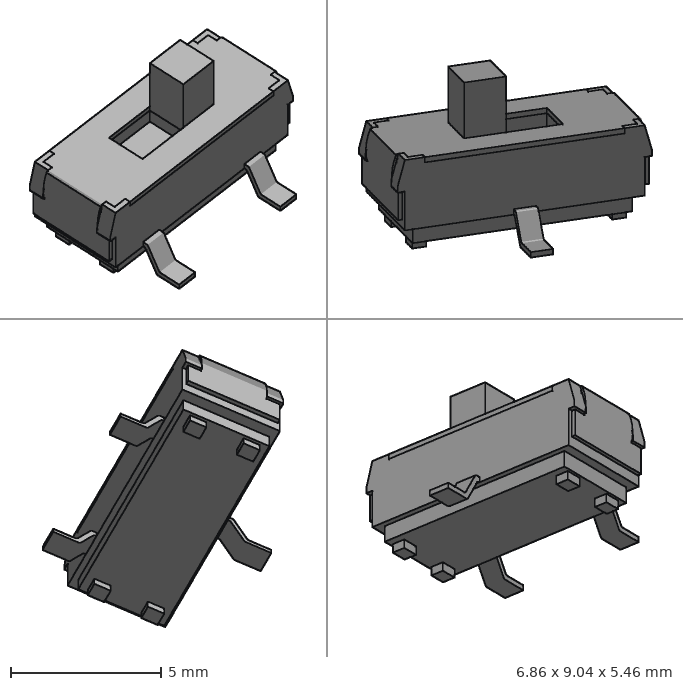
import cadquery as cq
import math

BOTH_SIDES = (-1, 1)

housing_width = 3.625
housing_length = 8.525
ledge_z = 0.92
top_z = 3.45
base_width = 3.19
base_length = 7.81
base_z = 0.325

foot_width = 0.61
foot_length = 0.5
foot_x = 0.99
foot_y = 3.55

overall_length = 9.04
strap_width = 2.42
shoulder_bottom_z = 2.31
shoulder_slope_z = 2.53

cover_thickness = 0.19
cover_long_inset = 0.71
cover_corner_inset_x = 0.22
cover_corner_inset_y = 0.19

flap_width = 3.41
flap_top_z = 2.26
flap_bottom_z = 1.275
flap_thickness = 0.145
flap_gap = 0.05
strap_crown_y = 4.5
strap_crown_z = 2.69
strap_shoulder_y = 4.35
strap_shoulder_z = 3.41
strap_edge_radius = 0.11

lever_size = 1.5
lever_height = 2.01
slot_length = 3.52
slot_depth = 0.705

terminal_width = 0.8
terminal_thickness = 0.2
terminal_pitch = 2.5
terminal_tip_x = 3.43
terminal_knee_x = 2.02
terminal_slope = math.radians(60)
terminal_bend_radius = 0.1

half_width = housing_width / 2
half_length = housing_length / 2
cover_bottom_z = top_z - cover_thickness
shoulder_width = (housing_width - strap_width) / 2
lever_y = (slot_length - lever_size) / 2
opening_length = slot_length - lever_size
opening_y = -lever_size / 2


def block(width, length, bottom_z, upper_z, x=0, y=0):
    """Upright box centred on (x, y) between two heights."""
    height = upper_z - bottom_z
    return cq.Workplane("XY").box(width, length, height, (True, True, False)).translate((x, y, bottom_z))


def at_end(shape, side):
    """Shape made for the +Y end, mirrored when side is -1."""
    return shape if side > 0 else shape.mirror("XZ")


def make_cover_plate():
    middle = block(housing_width, housing_length - 2 * cover_long_inset, cover_bottom_z, top_z)
    stepped = block(
        housing_width - 2 * cover_corner_inset_x,
        housing_length - 2 * cover_corner_inset_y,
        cover_bottom_z,
        top_z,
    )
    tongue = block(strap_width, housing_length, cover_bottom_z, top_z)
    return middle.union(stepped).union(tongue)


def make_opening():
    return block(lever_size, opening_length, top_z - slot_depth, top_z, y=opening_y)


def make_end_strap():
    """Bowed strap and its flap at the +Y end, clear of the housing wall."""
    inner_y = half_length + flap_gap
    outer_y = inner_y + flap_thickness
    strap = (
        cq.Workplane("YZ")
        .moveTo(half_length, top_z)
        .radiusArc((strap_shoulder_y, strap_shoulder_z), strap_edge_radius)
        .threePointArc((strap_crown_y, strap_crown_z), (outer_y, flap_top_z))
        .lineTo(inner_y, flap_top_z)
        .lineTo(inner_y, cover_bottom_z)
        .lineTo(half_length, cover_bottom_z)
        .close()
        .extrude(strap_width / 2, both=True)
    )
    flap = block(flap_width, flap_thickness, flap_bottom_z, flap_top_z, y=(inner_y + outer_y) / 2)
    return strap.union(flap)


def make_shoulder():
    """Sloped block beside the strap, at the +Y end and centred on X = 0."""
    return (
        cq.Workplane("YZ")
        .moveTo(half_length, top_z)
        .lineTo(overall_length / 2, shoulder_slope_z)
        .lineTo(overall_length / 2, shoulder_bottom_z)
        .lineTo(half_length, shoulder_bottom_z)
        .close()
        .extrude(shoulder_width / 2, both=True)
    )


def make_housing():
    body = block(housing_width, housing_length, ledge_z, top_z)
    body = body.union(block(base_width, base_length, base_z, ledge_z))
    shoulder_x = (strap_width + shoulder_width) / 2
    for y_side in BOTH_SIDES:
        for x_side in BOTH_SIDES:
            shoulder = make_shoulder().translate((x_side * shoulder_x, 0, 0))
            body = body.union(at_end(shoulder, y_side))
            body = body.union(block(foot_width, foot_length, 0, base_z, x_side * foot_x, y_side * foot_y))
    return body.cut(make_cover_plate()).cut(make_opening())


def make_cover():
    """Cover plate with its end straps and the lever standing on it."""
    body = make_cover_plate()
    for y_side in BOTH_SIDES:
        body = body.union(at_end(make_end_strap(), y_side))
    lever = block(lever_size, lever_size, top_z, top_z + lever_height, y=lever_y)
    return body.cut(make_opening()).union(lever)


def make_terminal(side, y):
    """Cranked strip that leaves the housing wall and steps down to Z = 0."""
    run = ledge_z / math.tan(terminal_slope)
    underside_shift = terminal_thickness * math.tan(terminal_slope / 2)
    upper_z = ledge_z + terminal_thickness
    bend_x = terminal_knee_x + run
    strip = (
        cq.Workplane("XZ")
        .moveTo(half_width, upper_z)
        .lineTo(terminal_knee_x, upper_z)
        .lineTo(bend_x, terminal_thickness)
        .lineTo(terminal_tip_x, terminal_thickness)
        .lineTo(terminal_tip_x, 0)
        .lineTo(bend_x - underside_shift, 0)
        .lineTo(terminal_knee_x - underside_shift, ledge_z)
        .lineTo(half_width, ledge_z)
        .close()
        .extrude(terminal_width / 2, both=True)
    )
    for x, z in (
        (terminal_knee_x, upper_z),
        (bend_x, terminal_thickness),
        (bend_x - underside_shift, 0),
        (terminal_knee_x - underside_shift, ledge_z),
    ):
        strip = strip.edges(cq.selectors.NearestToPointSelector((x, 0, z))).fillet(terminal_bend_radius)
    if side < 0:
        strip = strip.mirror("YZ")
    return strip.translate((0, y, 0))


housing = make_housing()
cover = make_cover()
terminals = [
    make_terminal(side, y)
    for side, y in ((-1, 0), (1, -terminal_pitch), (1, terminal_pitch))
]

result = cq.Compound.makeCompound(
    [housing.val(), cover.val(), *[terminal.val() for terminal in terminals]]
)